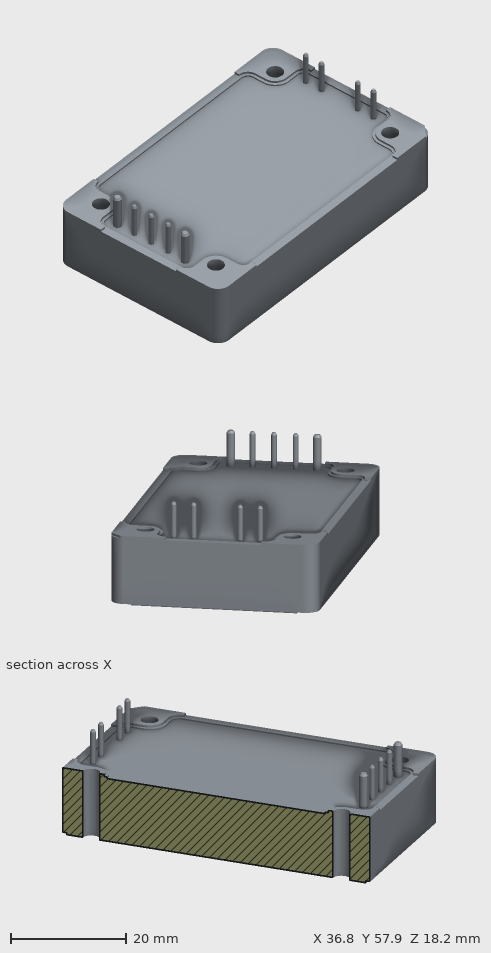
import cadquery as cq
length = 57.9
width = 36.8
total_height = 18.2

base_thickness = 0.35
pad_top = 12.5
pad_height = 0.4
rim_top = pad_top - pad_height
floor_drop = 0.3
floor_level = rim_top - floor_drop

case_corner_radius = 2.5
marker_corner_leg = 2.1

base_inset = 0.75
base_notch_radius = 3.0

hole_diameter = 3.1
hole_inset = 5.4

rim_width = 1.55
step_gap = 0.5
wall_bend_radius = 3.05
wall_end_radius = 1.45

pin_tip_height = 0.4
thin_pin = (1.0, 0.6)
thick_pin = (1.5, 1.0)
pin_row_y = 25.5
outer_pin_x = 7.65
front_inner_pin_x = outer_pin_x / 2
rear_inner_pin_x = 4.1


def rectangle_points(half_x, half_y):
    return [(x, y) for x in (-half_x, half_x) for y in (-half_y, half_y)]


def box(size_x, size_y, bottom, top):
    return cq.Workplane("XY").workplane(offset=bottom).rect(size_x, size_y).extrude(top - bottom)


def cylinders(points, diameter, bottom, top):
    plane = cq.Workplane("XY").workplane(offset=bottom)
    return plane.pushPoints(points).circle(diameter / 2).extrude(top - bottom)


def corner_block(edge_gap, bottom, top):
    """Block in the -X -Y corner; edge_gap sets its inner edge back from the floor wall."""
    bend = wall_bend_radius - edge_gap
    end = wall_end_radius + edge_gap
    edge = hole_inset + bend
    near = rim_width - edge_gap
    shoulder = near + end
    finish = edge + end
    diagonal = 0.5 ** 0.5

    outline = (
        cq.Workplane("XY")
        .workplane(offset=bottom, origin=(-width / 2, -length / 2, 0))
        .lineTo(finish, 0)
        .lineTo(finish, near)
        .threePointArc((finish - end * diagonal, shoulder - end * diagonal), (edge, shoulder))
        .lineTo(edge, hole_inset)
        .threePointArc((hole_inset + bend * diagonal, hole_inset + bend * diagonal), (hole_inset, edge))
        .lineTo(shoulder, edge)
        .threePointArc((shoulder - end * diagonal, finish - end * diagonal), (near, finish))
        .lineTo(0, finish)
        .close()
    )
    return outline.extrude(top - bottom)


def at_all_corners(solid):
    mirrored_pair = solid.union(solid.mirror("YZ"))
    return mirrored_pair.union(mirrored_pair.mirror("XZ"))


def make_base():
    half_x = width / 2 - base_inset
    half_y = length / 2 - base_inset
    notches = cylinders(rectangle_points(half_x, half_y), 2 * base_notch_radius, 0, base_thickness)
    return box(2 * half_x, 2 * half_y, 0, base_thickness).cut(notches)


def make_case():
    floor = box(width, length, base_thickness, floor_level)
    rim = box(width, length, floor_level, rim_top).cut(
        box(width - 2 * rim_width, length - 2 * rim_width, floor_level, rim_top)
    )
    steps = at_all_corners(corner_block(0, floor_level, rim_top))
    pads = at_all_corners(corner_block(step_gap, rim_top, pad_top))
    rounded = box(width, length, base_thickness, pad_top).edges("|Z").fillet(case_corner_radius)
    return floor.union(rim).union(steps).union(pads).intersect(rounded)


def make_marker_cut():
    """Triangle that flattens the pad in the +X +Y corner."""
    corner = cq.Workplane("XY").workplane(offset=rim_top, origin=(width / 2, length / 2, 0))
    triangle = corner.lineTo(-marker_corner_leg, 0).lineTo(0, -marker_corner_leg).close()
    return triangle.extrude(pad_height)


def make_pins(points, diameters):
    shank, tip = diameters
    chamfer_width = (shank - tip) / 2
    pins = cylinders(points, shank, floor_level, total_height)
    return pins.faces(">Z").edges().chamfer(pin_tip_height, chamfer_width)


mounting_points = rectangle_points(width / 2 - hole_inset, length / 2 - hole_inset)
thick_points = [(x, -pin_row_y) for x in (-outer_pin_x, outer_pin_x)]
front_points = [(x, -pin_row_y) for x in (-front_inner_pin_x, 0, front_inner_pin_x)]
rear_points = [(x, pin_row_y) for x in (-outer_pin_x, -rear_inner_pin_x, rear_inner_pin_x, outer_pin_x)]

result = make_base().union(make_case())
result = result.cut(make_marker_cut())
result = result.cut(cylinders(mounting_points, hole_diameter, 0, pad_top))
result = result.union(make_pins(thick_points, thick_pin))
result = result.union(make_pins(front_points + rear_points, thin_pin))